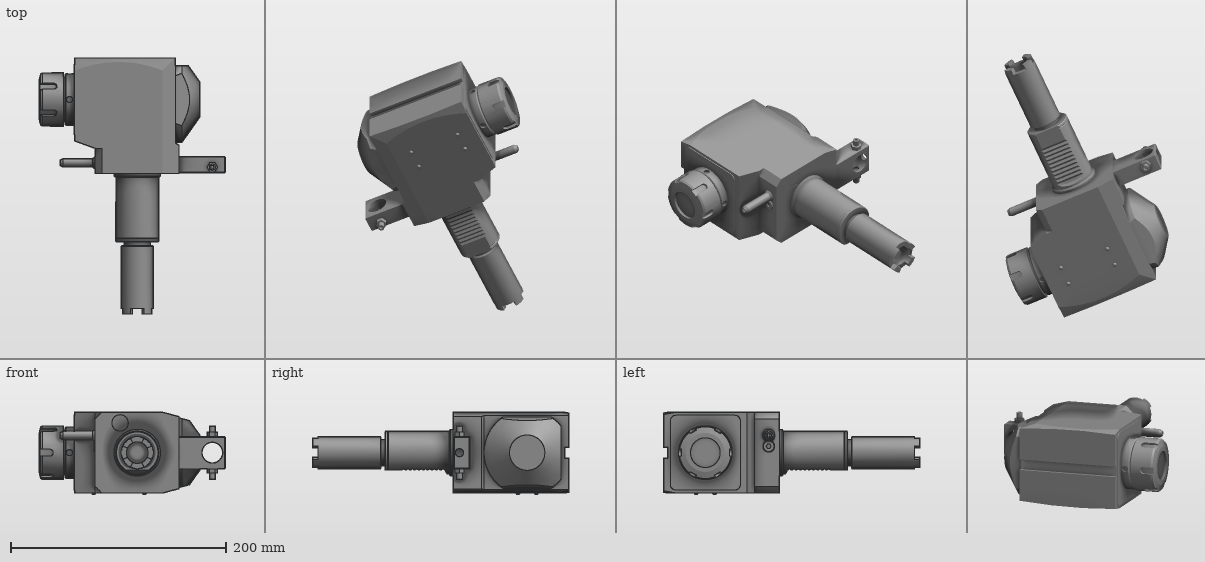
import cadquery as cq
import math


half_height = 37.6
housing_left = -58.1
housing_right = 35.5
housing_back = 107.7
foot_left = -39.0
foot_right = 38.8
foot_left_depth = 23.3
flank_end_y = 30.3
foot_right_depth = 26.5
foot_right_ramp = 2.1
foot_chamfer = 6.2
taper_start_x = 23.5
taper_slope = math.tan(math.radians(15.0))
back_groove_width = 10.0
back_groove_depth = 3.8
crown_apex_x = -17.0
crown_apex_y = 103.6
crown_angle = 10.4
crown_half_width = 57.2
crown_sag = 2.9
crown_reach = 28.5
plug_x, plug_z = -16.0, 27.6
plug_radius = 7.6
plug_recess = 0.2

spindle_y = 68.9
cover_width = 65.0
cover_height = 69.5
cover_thickness = 0.7
cover_corner = 5.2
nut_tip_x = -91.2
nut_cone_end_x = -89.8
nut_cone_end_radius = 24.0
nut_edge_x = -88.0
nut_rear_x = -68.5
nut_radius = 25.0
nut_neck_radius = 21.0
nut_face_radius = 18.0
nut_bore_radius = 13.8
nut_bore_depth = 2.5
collar_front_x = -67.0
collar_radius = 24.0
collar_chamfer = 1.0
collar_hole_x = -63.0
collar_hole_radius = 2.9
collar_hole_depth = 2.5
collar_hole_angles = (0, 90, 180, 270)
nut_slot_angles = (0, 60, 120, 180, 240, 300)
nut_upper_slot_angles = (240, 300)
nut_slot_end_x = -78.1
nut_upper_slot_end_x = -74.8
nut_slot_width = 6.5
nut_slot_depth = 2.6
cap_radius = 40.0
cap_rim_x = 41.5
cap_tip_x = 58.1
cap_tip_radius = 16.5
cap_flat_back_y = 100.3
cap_flat_z = 33.4

flange_radius = 21.7
flange_length = 2.5
flange_bevel = 1.2
shank_radius = 20.0
shank_end_y = -63.4
shank_end_chamfer = 0.7
shank_ring_y = -60.0
shank_ring_depth = 0.5
neck_radius = 12.5
drive_start_y = -67.0
drive_end_y = -130.5
drive_radius = 15.0
drive_chamfer = 0.7
drive_bore_radius = 10.0
drive_bore_depth = 23.8
claw_depth = 5.0
claw_slot_count = 4
claw_slot_half_angle = 25.0
rack_flat_z = -16.2
rack_start_y = -7.5
rack_ramp_length = 2.1
rack_ramp_drop = 4.3
rack_pitch = 4.0
rack_groove_depth = 1.2
rack_groove_count = 10

pin_y, pin_z = 10.0, 16.0
pin_radius = 4.0
pin_tip_x = -71.7
pin_tip_length = 2.9
pin_tip_radius = 2.6
pin_cone_length = 2.5
pin_cone_radius = 5.7
pin_socket_size = 2.9
pin_socket_depth = 2.0
nozzle_z = 6.0
nozzle_radius = 5.5
nozzle_rise = 1.2
nozzle_top_radius = 5.0
nozzle_socket_size = 4.5
nozzle_socket_depth = 2.0

arm_tip_x = 82.0
arm_front_y, arm_back_y = 0.7, 15.7
arm_half_height = 15.0
arm_chamfer = 0.7
arm_hole_x = 69.8
arm_hole_radius = 9.5
stud_y = 6.0
stud_radius = 2.9
stud_tip_z = 24.8
stud_nut_diameter = 9.8
stud_nut_top_z = 19.0
stud_inner_z = 11.5
arm_tip_hole_radius = 3.8
stud_socket_size = 3.3
stud_socket_depth = 2.9

rivet_radius = 2.0
rivet_tip_radius = 1.0
rivet_height = 1.5
rivet_spacing_x = 47.2
rivet_spacing_y = 17.2
rivet_centre_x = -17.0

overlap = 2.5


def box(x_range, y_range, z_range):
    """Box between the given limits."""
    sizes = [b - a for a, b in (x_range, y_range, z_range)]
    corner = (x_range[0], y_range[0], z_range[0])
    return cq.Workplane("XY").box(*sizes, centered=False).translate(corner)


def turned_x(profile, y, z):
    """Revolve (x, radius) points about an axis parallel to X."""
    solid = cq.Workplane("XY").polyline(profile).close().revolve(360, (0, 0, 0), (1, 0, 0))
    return solid.translate((0, y, z))


def turned_y(profile):
    """Revolve (radius, y) points about the Y axis."""
    return cq.Workplane("XY").polyline(profile).close().revolve(360, (0, 0, 0), (0, 1, 0))


def taper_height(x):
    """Half height of the housing on its sloping right-hand end."""
    return half_height - (x - taper_start_x) * taper_slope


def crown_cutter():
    """Waste above the crowned slope at the back upper edge."""
    slab = (
        cq.Workplane("XZ")
        .moveTo(-crown_half_width, -crown_sag)
        .threePointArc((0, 0), (crown_half_width, -crown_sag))
        .lineTo(crown_half_width, crown_reach)
        .lineTo(-crown_half_width, crown_reach)
        .close()
        .extrude(crown_reach, both=True)
    )
    tilted = slab.rotate((0, 0, 0), (1, 0, 0), -crown_angle)
    return tilted.translate((crown_apex_x, crown_apex_y, half_height))


def housing():
    plan = [
        (foot_left, 0),
        (foot_right, 0),
        (foot_right, foot_right_depth),
        (housing_right, foot_right_depth + foot_right_ramp),
        (housing_right, housing_back),
        (housing_left, housing_back),
        (housing_left, flank_end_y),
        (foot_left, foot_left_depth),
    ]
    body = cq.Workplane("XY").polyline(plan).close().extrude(half_height, both=True)

    side = [
        (housing_left, half_height),
        (taper_start_x, half_height),
        (foot_right, taper_height(foot_right)),
        (foot_right, -taper_height(foot_right)),
        (taper_start_x, -half_height),
        (housing_left, -half_height),
    ]
    body = body.intersect(cq.Workplane("XZ").polyline(side).close().extrude(-housing_back))

    crown = crown_cutter()
    body = body.cut(crown).cut(crown.mirror("XY"))

    for sign in (1, -1):
        edge = [
            (foot_left, sign * half_height),
            (foot_left + foot_chamfer, sign * half_height),
            (foot_left, sign * (half_height - foot_chamfer)),
        ]
        body = body.cut(cq.Workplane("XZ").polyline(edge).close().extrude(-foot_left_depth))

    groove = box(
        (housing_left, housing_right),
        (housing_back - back_groove_depth, housing_back),
        (-back_groove_width / 2, back_groove_width / 2),
    )
    plug = cq.Workplane("XZ").center(plug_x, plug_z).circle(plug_radius).extrude(-plug_recess)
    return body.cut(groove).cut(plug)


def cover_plate():
    plate = cq.Workplane("XY").box(cover_thickness + overlap, cover_width, cover_height)
    plate = plate.edges("|X").fillet(cover_corner)
    centre_x = housing_left + (overlap - cover_thickness) / 2
    return plate.translate((centre_x, spindle_y, 0))


def nut_slot(end_x):
    """Round-ended wrench slot on the -Y side of a nut centred on the X axis."""
    arc_centre_x = end_x - nut_slot_width / 2
    half_width = nut_slot_width / 2
    start_x = nut_tip_x - overlap
    return (
        cq.Workplane("XZ", origin=(0, -(nut_radius - nut_slot_depth), 0))
        .moveTo(start_x, -half_width)
        .lineTo(arc_centre_x, -half_width)
        .threePointArc((end_x, 0), (arc_centre_x, half_width))
        .lineTo(start_x, half_width)
        .close()
        .extrude(nut_slot_depth + overlap)
    )


def clamping_nut():
    bore_floor_x = nut_tip_x + nut_bore_depth
    profile = [
        (bore_floor_x, 0),
        (bore_floor_x, nut_bore_radius),
        (nut_tip_x, nut_bore_radius),
        (nut_tip_x, nut_face_radius),
        (nut_cone_end_x, nut_cone_end_radius),
        (nut_edge_x, nut_radius),
        (nut_rear_x, nut_radius),
        (nut_rear_x, nut_neck_radius),
        (collar_front_x, nut_neck_radius),
        (collar_front_x, collar_radius - collar_chamfer),
        (collar_front_x + collar_chamfer, collar_radius),
        (housing_left + overlap, collar_radius),
        (housing_left + overlap, 0),
    ]
    nut = turned_x(profile, 0, 0)

    for angle in nut_slot_angles:
        end_x = nut_upper_slot_end_x if angle in nut_upper_slot_angles else nut_slot_end_x
        nut = nut.cut(nut_slot(end_x).rotate((0, 0, 0), (1, 0, 0), angle))

    hole = (
        cq.Workplane("XY", origin=(collar_hole_x, 0, collar_radius - collar_hole_depth))
        .circle(collar_hole_radius)
        .extrude(collar_hole_depth + overlap)
    )
    for angle in collar_hole_angles:
        nut = nut.cut(hole.rotate((0, 0, 0), (1, 0, 0), angle))
    return nut.translate((0, spindle_y, 0))


def rear_cap():
    profile = [
        (housing_right - overlap, 0),
        (housing_right - overlap, cap_radius),
        (cap_rim_x, cap_radius),
        (cap_tip_x, cap_tip_radius),
        (cap_tip_x, 0),
    ]
    cap = turned_x(profile, spindle_y, 0)

    root_x = housing_right - overlap
    root_z = cap_flat_z + overlap * taper_slope
    tip_z = root_z - (cap_tip_x - root_x) * taper_slope
    side = [(root_x, root_z), (cap_tip_x, tip_z), (cap_tip_x, -tip_z), (root_x, -root_z)]
    return cap.intersect(cq.Workplane("XZ").polyline(side).close().extrude(-cap_flat_back_y))


def rack_cutter():
    """Clamping flat under the shank with its row of V grooves."""
    ramp_z = rack_flat_z - rack_ramp_drop
    flat = [
        (rack_start_y + rack_ramp_length, ramp_z),
        (rack_start_y, rack_flat_z),
        (shank_end_y, rack_flat_z),
        (shank_end_y, ramp_z),
    ]
    cutter = cq.Workplane("YZ").polyline(flat).close().extrude(shank_radius, both=True)
    for i in range(rack_groove_count):
        centre_y = rack_start_y - (i + 0.5) * rack_pitch
        vee = [
            (centre_y - rack_pitch / 2, rack_flat_z),
            (centre_y, rack_flat_z + rack_groove_depth),
            (centre_y + rack_pitch / 2, rack_flat_z),
            (centre_y, rack_flat_z - rack_groove_depth),
        ]
        cutter = cutter.union(cq.Workplane("YZ").polyline(vee).close().extrude(shank_radius, both=True))
    return cutter


def claw_slot():
    """Wedge-shaped gap between two drive claws, opening toward +Z."""
    reach = 2 * drive_radius
    half_width = reach * math.tan(math.radians(claw_slot_half_angle))
    wedge = [(0, 0), (half_width, reach), (-half_width, reach)]
    return (
        cq.Workplane("XZ", origin=(0, drive_end_y + claw_depth, 0))
        .polyline(wedge)
        .close()
        .extrude(claw_depth + overlap)
    )


def shank():
    bevel_end_y = -flange_length - flange_bevel
    profile = [
        (0, overlap),
        (flange_radius, overlap),
        (flange_radius, -flange_length),
        (shank_radius, bevel_end_y),
        (shank_radius, shank_ring_y),
        (shank_radius - shank_ring_depth, shank_ring_y - shank_ring_depth),
        (shank_radius, shank_ring_y - 2 * shank_ring_depth),
        (shank_radius, shank_end_y + shank_end_chamfer),
        (shank_radius - shank_end_chamfer, shank_end_y),
        (0, shank_end_y),
    ]
    return turned_y(profile).cut(rack_cutter())


def drive_shaft():
    bore_floor_y = drive_end_y + drive_bore_depth
    profile = [
        (0, shank_end_y + overlap),
        (neck_radius, shank_end_y + overlap),
        (neck_radius, drive_start_y),
        (drive_radius - drive_chamfer, drive_start_y),
        (drive_radius, drive_start_y - drive_chamfer),
        (drive_radius, drive_end_y),
        (drive_bore_radius, drive_end_y),
        (drive_bore_radius, bore_floor_y),
        (0, bore_floor_y),
    ]
    shaft = turned_y(profile)
    slot = claw_slot()
    for i in range(claw_slot_count):
        shaft = shaft.cut(slot.rotate((0, 0, 0), (0, 1, 0), i * 360 / claw_slot_count))
    return shaft


def hex_socket_x(x, z, across_corners, depth):
    """Hexagonal recess sunk toward +X on the pin line."""
    return cq.Workplane("YZ", origin=(x, pin_y, z)).polygon(6, across_corners).extrude(depth)


def coolant_pin():
    profile = [
        (pin_tip_x, 0),
        (pin_tip_x, pin_tip_radius),
        (pin_tip_x + pin_tip_length, pin_radius),
        (foot_left - pin_cone_length, pin_radius),
        (foot_left, pin_cone_radius),
        (foot_left + overlap, pin_cone_radius),
        (foot_left + overlap, 0),
    ]
    pin = turned_x(profile, pin_y, pin_z)
    return pin.cut(hex_socket_x(pin_tip_x, pin_z, pin_socket_size, pin_socket_depth))


def coolant_nozzle():
    top_x = foot_left - nozzle_rise
    profile = [
        (top_x, 0),
        (top_x, nozzle_top_radius),
        (foot_left, nozzle_radius),
        (foot_left + overlap, nozzle_radius),
        (foot_left + overlap, 0),
    ]
    nozzle = turned_x(profile, pin_y, nozzle_z)
    return nozzle.cut(hex_socket_x(top_x, nozzle_z, nozzle_socket_size, nozzle_socket_depth))


def arm_stud():
    """Set screw with lock nut standing on the upper side of the arm."""
    base = cq.Workplane("XY", origin=(arm_hole_x, stud_y, 0))
    screw = base.circle(stud_radius).extrude(stud_tip_z)
    lock_nut = base.polygon(6, stud_nut_diameter).extrude(stud_nut_top_z)
    socket = (
        base.workplane(offset=stud_tip_z - stud_socket_depth)
        .polygon(6, stud_socket_size)
        .extrude(stud_socket_depth)
    )
    return screw.union(lock_nut).cut(socket)


def stop_arm():
    arm = box(
        (foot_right - overlap, arm_tip_x),
        (arm_front_y, arm_back_y),
        (-arm_half_height, arm_half_height),
    )
    arm = arm.edges(">X or (|X and <Y and >Z)").chamfer(arm_chamfer)
    stud = arm_stud()
    arm = arm.union(stud).union(stud.mirror("XY"))
    hole = (
        cq.Workplane("XZ")
        .center(arm_hole_x, 0)
        .circle(arm_hole_radius)
        .extrude(-(arm_back_y + overlap))
    )
    stud_gap = (
        cq.Workplane("XY")
        .center(arm_hole_x, stud_y)
        .circle(stud_radius)
        .extrude(stud_inner_z, both=True)
    )
    tip_hole = (
        cq.Workplane("YZ", origin=(arm_hole_x, stud_y, 0))
        .circle(arm_tip_hole_radius)
        .extrude(arm_tip_x - arm_hole_x)
    )
    return arm.cut(hole).cut(stud_gap).cut(tip_hole)


def rivet(x, y):
    """Cone-headed rivet under the housing."""
    profile = [
        (0, -half_height - rivet_height),
        (rivet_tip_radius, -half_height - rivet_height),
        (rivet_radius, -half_height),
        (rivet_radius, overlap - half_height),
        (0, overlap - half_height),
    ]
    head = cq.Workplane("XZ").polyline(profile).close().revolve(360, (0, 0, 0), (0, 1, 0))
    return head.translate((x, y, 0))


result = housing()
for piece in (
    cover_plate(),
    clamping_nut(),
    rear_cap(),
    shank(),
    drive_shaft(),
    coolant_pin(),
    coolant_nozzle(),
    stop_arm(),
):
    result = result.union(piece)
for side_x in (-1, 1):
    for side_y in (-1, 1):
        rivet_x = rivet_centre_x + side_x * rivet_spacing_x / 2
        rivet_y = spindle_y + side_y * rivet_spacing_y / 2
        result = result.union(rivet(rivet_x, rivet_y))